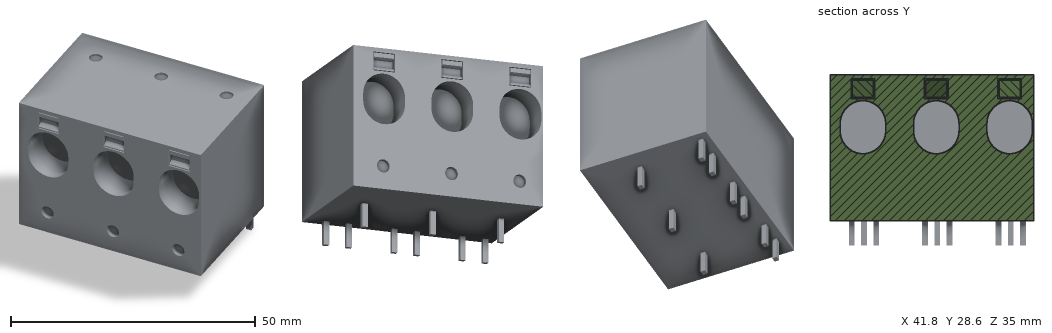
import cadquery as cq

WIDTH = 41.8
DEPTH = 28.55
HEIGHT = 29.95

POLE_COUNT = 3
POLE_PITCH = 15.0
WIRE_X = 6.77
TEST_X = 6.6

WIRE_WIDTH = 9.2
WIRE_HEIGHT = 10.75
WIRE_Z = 19.2
WIRE_DEPTH = 6.4
UPRIGHT = 90

TEST_DIAMETER = 2.8
FRONT_TEST_Z = 4.9
TOP_TEST_Y = 21.75
FRONT_TEST_DEPTH = 1.0
TOP_TEST_DEPTH = 0.4

WINDOW_WIDTH = 4.72
WINDOW_HEIGHT = 3.97
WINDOW_TOP_GAP = 0.9
WINDOW_DEPTH = 2.5
LATCH_GAP = 0.15
LIP_HEIGHT = 0.3
GROOVE_DEPTH = 0.9
GROOVE_RAMP = 0.63
GROOVE_BACK = 1.35
GROOVE_CROWN = 0.45

PIN_LENGTH = 5.0
PIN_WIDTH = 1.15
PIN_THICKNESS = 1.0
PIN_SPACING = 2.5
MIDDLE_PIN_X = 7.0
FRONT_PIN_Y = 11.5
REAR_PIN_Y = 26.55
PLATE_THICKNESS = PIN_THICKNESS

TEST_RADIUS = TEST_DIAMETER / 2
POLE_SHIFTS = [pole * POLE_PITCH for pole in range(POLE_COUNT)]
WINDOW_BOTTOM = HEIGHT - WINDOW_TOP_GAP - WINDOW_HEIGHT


def block(x, y, z, center_x, front_y, bottom_z):
    """Box centred on center_x, with its front and bottom faces at the given places."""
    plane = cq.Workplane("XY", origin=(center_x, front_y, bottom_z))
    return plane.box(x, y, z, centered=(True, False, False))


def front_plane(x, z):
    """Work plane on the front face whose normal points out of the housing."""
    return cq.Workplane("XZ", origin=(x, 0, z))


def terminal_plate(shift):
    """Flat plate that spans the three pins of one pole."""
    return block(
        2 * PIN_SPACING + PIN_WIDTH,
        REAR_PIN_Y - FRONT_PIN_Y + PIN_THICKNESS,
        PLATE_THICKNESS,
        MIDDLE_PIN_X + shift,
        FRONT_PIN_Y - PIN_THICKNESS / 2,
        0,
    )


def make_terminal(shift):
    """Plate with a pin below its middle at the front and one at each rear corner."""
    terminal = terminal_plate(shift)
    middle = MIDDLE_PIN_X + shift
    pin_places = [
        (middle - PIN_SPACING, REAR_PIN_Y),
        (middle, FRONT_PIN_Y),
        (middle + PIN_SPACING, REAR_PIN_Y),
    ]
    for x, y in pin_places:
        pin = block(PIN_WIDTH, PIN_THICKNESS, PIN_LENGTH, x, y - PIN_THICKNESS / 2, -PIN_LENGTH)
        terminal = terminal.union(pin)
    return terminal


def make_latch(shift):
    """Bar with a groove across its front, resting on the back of the window."""
    width = WINDOW_WIDTH - 2 * LATCH_GAP
    bottom = WINDOW_BOTTOM + LATCH_GAP
    top = WINDOW_BOTTOM + WINDOW_HEIGHT - LATCH_GAP
    lip_top = bottom + LIP_HEIGHT
    ramp_top = lip_top + GROOVE_RAMP
    back_top = ramp_top + GROOVE_BACK
    crown_top = back_top + GROOVE_CROWN
    profile = [
        (0, bottom),
        (0, lip_top),
        (GROOVE_DEPTH, ramp_top),
        (GROOVE_DEPTH, back_top),
        (0, crown_top),
        (0, top),
        (WINDOW_DEPTH, top),
        (WINDOW_DEPTH, bottom),
    ]
    left = WIRE_X + shift - width / 2
    return cq.Workplane("YZ", origin=(left, 0, 0)).polyline(profile).close().extrude(width)


def make_housing():
    """Block with wire entries, latch windows, test holes and recesses for the plates."""
    housing = cq.Workplane("XY").box(WIDTH, DEPTH, HEIGHT, centered=False)
    for shift in POLE_SHIFTS:
        wire_plane = front_plane(WIRE_X + shift, WIRE_Z)
        wire_entry = wire_plane.slot2D(WIRE_HEIGHT, WIRE_WIDTH, UPRIGHT).extrude(-WIRE_DEPTH)
        window = block(WINDOW_WIDTH, WINDOW_DEPTH, WINDOW_HEIGHT, WIRE_X + shift, 0, WINDOW_BOTTOM)
        front_test_plane = front_plane(TEST_X + shift, FRONT_TEST_Z)
        front_test = front_test_plane.circle(TEST_RADIUS).extrude(-FRONT_TEST_DEPTH)
        top_test_plane = cq.Workplane("XY", origin=(TEST_X + shift, TOP_TEST_Y, HEIGHT))
        top_test = top_test_plane.circle(TEST_RADIUS).extrude(-TOP_TEST_DEPTH)
        for cutter in (wire_entry, window, front_test, top_test, terminal_plate(shift)):
            housing = housing.cut(cutter)
    return housing


housing = make_housing()
latches = [make_latch(shift) for shift in POLE_SHIFTS]
terminals = [make_terminal(shift) for shift in POLE_SHIFTS]

result = cq.Compound.makeCompound([
    housing.val(),
    *[latch.val() for latch in latches],
    *[terminal.val() for terminal in terminals],
])